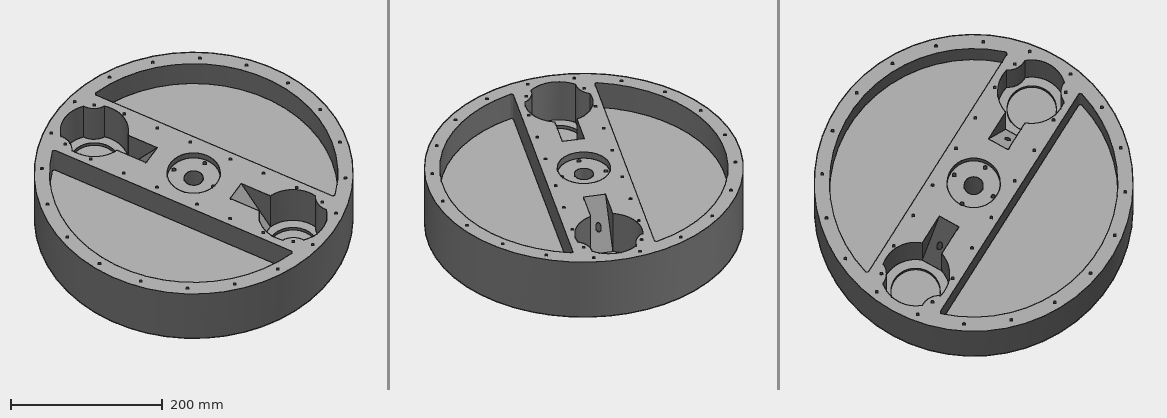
import cadquery as cq
import math

disc_diameter = 420.0
disc_radius = disc_diameter / 2
disc_height = 90.0

rim_width = 20.0
pocket_radius = disc_radius - rim_width
pocket_depth = 40.0
web_half_width = 55.0
pocket_corner_radius = 3.0

bore_diameter = 25.0
recess_diameter = 70.0
recess_depth = 10.0
recess_hole_diameter = 5.0
recess_hole_circle_radius = 30.0
recess_hole_count = 4
recess_hole_depth = 20.0

well_offset = 150.0
well_diameter = 90.0
well_radius = well_diameter / 2
well_depth = 62.0
well_seat_diameter = 65.0
well_seat_depth = 5.0
screw_lug_diameter = 50.0
screw_lug_y = web_half_width
screw_lug_x = math.sqrt(pocket_radius**2 - web_half_width**2)

channel_width = 30.0
channel_half_width = channel_width / 2
channel_inner_x = 63.5
channel_hole_x = 87.8
channel_hole_diameter = 7.0
channel_hole_depth = well_depth

screw_diameter = 3.53
screw_depth = 20.0
rim_screw_count = 20
rim_screw_circle_radius = 200.0
web_screw_y = 45.0
web_screw_first_x = 30.2
web_screw_pitch = 50.0
web_screws_per_quarter = 3
lug_hole_x = 172.0
lug_hole_y = 39.0

SIDES = (-1, 1)


def cylinder_down(points, diameter, top_z, depth):
    """Vertical cylinders that start at top_z and reach down by depth."""
    plane = cq.Workplane("XY").workplane(offset=top_z)
    return plane.pushPoints(points).circle(diameter / 2).extrude(-depth)


def mirrored_points(x, y):
    """The same point in all four quarters of the disc."""
    return [(sx * x, sy * y) for sx in SIDES for sy in SIDES]


def segment_pockets():
    """Circle cut by the web into two segments with rounded corners."""
    round_blank = cylinder_down([(0, 0)], 2 * pocket_radius, disc_height, pocket_depth)
    web = cq.Workplane("XY").box(disc_diameter, 2 * web_half_width, 2 * disc_height)
    return round_blank.cut(web).edges("|Z").fillet(pocket_corner_radius)


def well_with_channel():
    """Well on the +X side, with its lugs, floor seat and sloped channel."""
    centre = [(well_offset, 0)]
    lugs = [(screw_lug_x, side * screw_lug_y) for side in SIDES]
    well = cylinder_down(centre, well_diameter, disc_height, well_depth)
    well = well.cut(cylinder_down(lugs, screw_lug_diameter, disc_height, well_depth))
    seat = cylinder_down(centre, well_seat_diameter, disc_height, well_depth + well_seat_depth)

    channel_outer_x = well_offset - math.sqrt(well_radius**2 - channel_half_width**2)
    foot_z = disc_height - well_depth

    slope_keep = cq.Workplane("XY").box(2 * channel_outer_x, channel_width, 2 * disc_height)
    well = well.cut(slope_keep)
    channel = (
        cq.Workplane("XZ")
        .moveTo(channel_inner_x, disc_height)
        .lineTo(channel_outer_x, foot_z)
        .lineTo(well_offset, foot_z)
        .lineTo(well_offset, disc_height)
        .close()
        .extrude(channel_half_width, both=True)
    )
    hole = cylinder_down([(channel_hole_x, 0)], channel_hole_diameter, disc_height, channel_hole_depth)
    return well.union(seat).union(channel).union(hole)


def top_screw_holes():
    """Screw holes around the rim, along the web and in the well lugs."""
    step = 2 * math.pi / rim_screw_count
    angles = [(i + 0.5) * step for i in range(rim_screw_count)]
    points = [
        (rim_screw_circle_radius * math.cos(a), rim_screw_circle_radius * math.sin(a))
        for a in angles
    ]
    for i in range(web_screws_per_quarter):
        points += mirrored_points(web_screw_first_x + i * web_screw_pitch, web_screw_y)
    points += mirrored_points(lug_hole_x, lug_hole_y)
    return cylinder_down(points, screw_diameter, disc_height, screw_depth)


def centre_cuts():
    """Central recess, through bore and the four holes in the recess floor."""
    recess_floor_z = disc_height - recess_depth
    recess = cylinder_down([(0, 0)], recess_diameter, disc_height, recess_depth)
    bore = cylinder_down([(0, 0)], bore_diameter, disc_height, disc_height)
    angles = [2 * math.pi * i / recess_hole_count for i in range(recess_hole_count)]
    points = [
        (recess_hole_circle_radius * math.cos(a), recess_hole_circle_radius * math.sin(a))
        for a in angles
    ]
    holes = cylinder_down(points, recess_hole_diameter, recess_floor_z, recess_hole_depth)
    return recess.union(bore).union(holes)


disc = cq.Workplane("XY").circle(disc_radius).extrude(disc_height)
disc = disc.cut(segment_pockets())
disc = disc.cut(centre_cuts())
well_cut = well_with_channel()
disc = disc.cut(well_cut)
disc = disc.cut(well_cut.mirror("YZ"))
result = disc.cut(top_screw_holes())